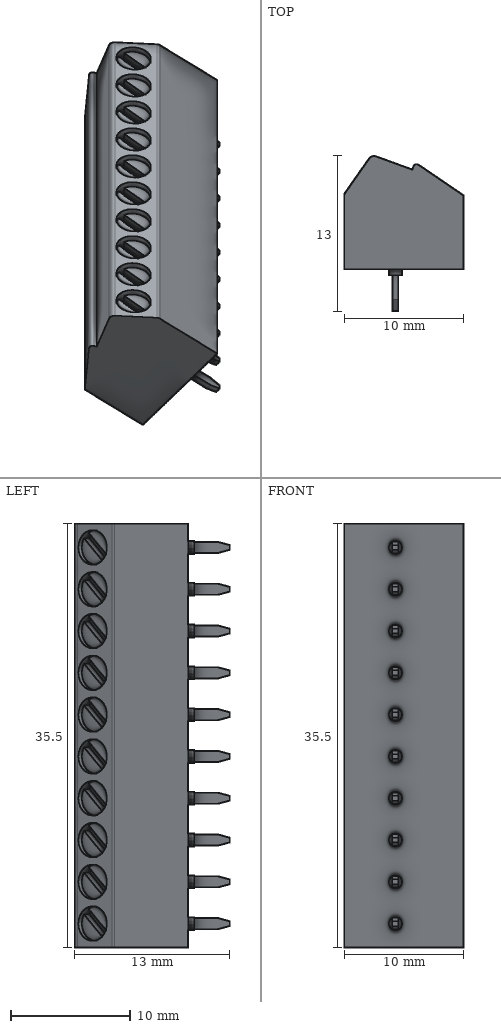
import cadquery as cq
import math

POLES = 10
PITCH = 3.5
END_MARGIN = 2.0
WIDTH = 10.0
HEIGHT = 9.5
LENGTH = (POLES - 1) * PITCH + 2 * END_MARGIN
SHOULDER_HEIGHT = 6.3
REAR_SHOULDER_HEIGHT = 6.2
SCREW_FACE_ANGLE = 55.0
RIDGE_FALL_ANGLE = 20.0
RIDGE_RADIUS = 0.5
SHOULDER_RADIUS = 0.4
STEP_X = 5.7
STEP_HEIGHT = 0.65
STEP_RADIUS = 0.3

SCREW_DIAMETER = 2.9
SCREW_CENTRE_HEIGHT = 8.0
SCREW_RECESS = 0.5
SLOT_WIDTH = 0.65
SLOT_DEPTH = 0.8
SLOT_ANGLE = -45.0

PIN_X = 4.3
PIN_LENGTH = 3.5
PIN_THICKNESS = 0.5
PIN_WIDTH = 0.95
PIN_TIP_WIDTH = 0.4
PIN_TAPER_LENGTH = 1.0
COLLAR_DIAMETER = 1.1
COLLAR_LENGTH = 0.5

SCREW_SIDE_X = -WIDTH / 2
POLE_POSITIONS = [-LENGTH / 2 + END_MARGIN + i * PITCH for i in range(POLES)]
SLOPE = math.radians(SCREW_FACE_ANGLE)
FALL = math.radians(RIDGE_FALL_ANGLE)


def make_housing():
    rounding_loss = RIDGE_RADIUS * ((math.sin(SLOPE) + math.sin(FALL)) / math.sin(SLOPE + FALL) - 1)
    ridge_y = HEIGHT + rounding_loss
    ridge_x = (ridge_y - SHOULDER_HEIGHT) / math.tan(SLOPE)
    step_y = ridge_y - (STEP_X - ridge_x) * math.tan(FALL)
    ridge = (SCREW_SIDE_X + ridge_x, ridge_y)
    shoulder = (SCREW_SIDE_X, SHOULDER_HEIGHT)
    step_foot = (SCREW_SIDE_X + STEP_X, step_y)
    step_top = (step_foot[0] + STEP_HEIGHT * math.sin(FALL), step_y + STEP_HEIGHT * math.cos(FALL))
    housing = (
        cq.Workplane("XY")
        .workplane(offset=-LENGTH / 2)
        .moveTo(SCREW_SIDE_X, 0)
        .lineTo(*shoulder)
        .lineTo(*ridge)
        .lineTo(*step_foot)
        .lineTo(*step_top)
        .lineTo(WIDTH / 2, REAR_SHOULDER_HEIGHT)
        .lineTo(WIDTH / 2, 0)
        .close()
        .extrude(LENGTH)
    )

    for corner, radius in ((shoulder, SHOULDER_RADIUS), (ridge, RIDGE_RADIUS), (step_top, STEP_RADIUS)):
        edge = cq.selectors.NearestToPointSelector((*corner, 0))
        housing = housing.edges("|Z").edges(edge).fillet(radius)
    return housing


def make_screw_cut():
    """Recess above one screw head together with its driver slot, for the pole at Z = 0."""
    centre_x = SCREW_SIDE_X + (SCREW_CENTRE_HEIGHT - SHOULDER_HEIGHT) / math.tan(SLOPE)
    outward = (-math.sin(SLOPE), math.cos(SLOPE), 0)
    up_slope = (math.cos(SLOPE), math.sin(SLOPE), 0)
    face = cq.Plane(origin=(centre_x, SCREW_CENTRE_HEIGHT, 0), xDir=up_slope, normal=outward)

    recess = cq.Workplane(face).circle(SCREW_DIAMETER / 2).extrude(-SCREW_RECESS)
    slot_floor = SCREW_RECESS + SLOT_DEPTH
    bore = cq.Workplane(face).circle(SCREW_DIAMETER / 2).extrude(-slot_floor)
    slot = (
        cq.Workplane(face)
        .transformed(rotate=(0, 0, SLOT_ANGLE))
        .rect(SCREW_DIAMETER, SLOT_WIDTH)
        .extrude(-slot_floor)
    )
    return recess.union(slot.intersect(bore))


def make_pin():
    """One flat pin with a tapered tip and a round collar, for the pole at Z = 0."""
    x = SCREW_SIDE_X + PIN_X
    taper_start = -PIN_LENGTH + PIN_TAPER_LENGTH
    blade = (
        cq.Workplane("YZ")
        .workplane(offset=x - PIN_THICKNESS / 2)
        .moveTo(0, -PIN_WIDTH / 2)
        .lineTo(0, PIN_WIDTH / 2)
        .lineTo(taper_start, PIN_WIDTH / 2)
        .lineTo(-PIN_LENGTH, PIN_TIP_WIDTH / 2)
        .lineTo(-PIN_LENGTH, -PIN_TIP_WIDTH / 2)
        .lineTo(taper_start, -PIN_WIDTH / 2)
        .close()
        .extrude(PIN_THICKNESS)
    )
    collar = cq.Workplane("XZ").center(x, 0).circle(COLLAR_DIAMETER / 2).extrude(COLLAR_LENGTH)
    return blade.union(collar)


result = make_housing()
screw_cut = make_screw_cut()
pin = make_pin()
for pole_z in POLE_POSITIONS:
    result = result.cut(screw_cut.translate((0, 0, pole_z)))
    result = result.union(pin.translate((0, 0, pole_z)))